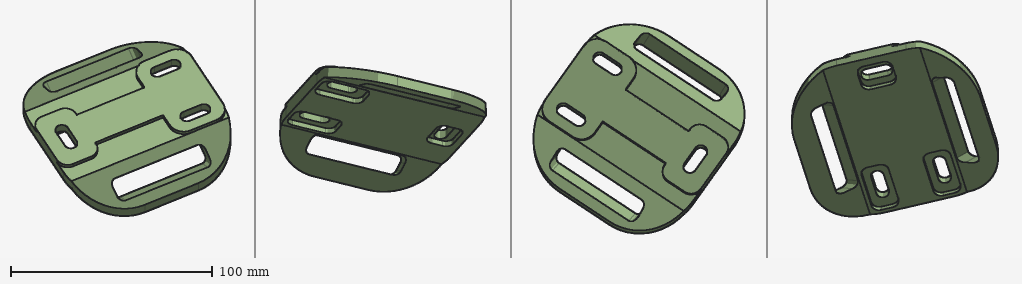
import cadquery as cq
import math

plate_length_x = 96.0
plate_width_y = 90.0
plate_corner_radius = 30.0
plate_thickness = 6.0
bend_x = 25.0
wing_drop = 10.11

raised_height = 2.0
rear_pad_x = 2 * bend_x
rear_pad_y = 30.0
rear_pad_radius = 8.0
front_pad_x = 34.0
front_pad_y = 22.0
front_pad_radius = 6.0
rib_x = 20.0
rib_y = 60.0

slot_length = 16.0
slot_width = 6.5
rear_slot_x = 16.0

recess_depth = 3.0
recess_width = 14.0
recess_corner_radius = 4.0
rear_recess_length = 26.0
front_recess_length = 18.0

window_length_y = 52.0
window_width = 10.0
window_corner_radius = 3.0
window_tilt = 30.0
window_center_x = 37.1

half_x = plate_length_x / 2
half_y = plate_width_y / 2
wing_slope = wing_drop / (half_x - bend_x)
rear_pad_center_y = half_y - rear_pad_y / 2
front_pad_center_y = -half_y + front_pad_y / 2
raised_top_z = plate_thickness + raised_height


def bent_plate():
    """Bent section run along Y, trimmed to a rounded rectangle seen from above."""
    section = (
        cq.Workplane("XZ")
        .moveTo(-half_x, -wing_drop)
        .lineTo(-bend_x, 0)
        .lineTo(bend_x, 0)
        .lineTo(half_x, -wing_drop)
        .lineTo(half_x, plate_thickness - wing_drop)
        .lineTo(bend_x, plate_thickness)
        .lineTo(-bend_x, plate_thickness)
        .lineTo(-half_x, plate_thickness - wing_drop)
        .close()
        .extrude(half_y, both=True)
    )
    outline = (
        cq.Workplane("XY", origin=(0, 0, -wing_drop))
        .rect(plate_length_x, plate_width_y)
        .extrude(wing_drop + plate_thickness)
        .edges("|Z")
        .fillet(plate_corner_radius)
    )
    return section.intersect(outline)


def raised_block(size_x, size_y, center_y):
    """Rectangular block standing on the flat middle of the plate."""
    return (
        cq.Workplane("XY", origin=(0, center_y, plate_thickness))
        .rect(size_x, size_y)
        .extrude(raised_height)
    )


def mounting_slot(center_x, center_y, recess_length, angle):
    """Cutter for a vertical slot with round ends and a wider recess at its bottom."""
    slot = cq.Workplane("XY").slot2D(slot_length, slot_width).extrude(raised_top_z)
    recess = (
        cq.Workplane("XY")
        .rect(recess_length, recess_width)
        .extrude(recess_depth)
        .edges("|Z")
        .fillet(recess_corner_radius)
    )
    cutter = slot.union(recess)
    return cutter.rotate((0, 0, 0), (0, 0, 1), angle).translate((center_x, center_y, 0))


def strap_window(side):
    """Oblique cutter for the window in the wing on the given side (-1 or 1)."""
    tilt = math.radians(window_tilt)
    surface_z = plate_thickness - wing_slope * (window_center_x - bend_x)
    plane = cq.Plane(
        origin=(side * window_center_x, 0, surface_z),
        xDir=(0, 1, 0),
        normal=(side * math.cos(tilt), 0, math.sin(tilt)),
    )
    reach = 2 * window_width
    return (
        cq.Workplane(plane)
        .rect(window_length_y, window_width)
        .extrude(reach, both=True)
        .edges(cq.selectors.ParallelDirSelector(plane.zDir))
        .fillet(window_corner_radius)
    )


rear_pad = raised_block(rear_pad_x, rear_pad_y, rear_pad_center_y).edges("|Z").fillet(rear_pad_radius)
front_pad = raised_block(front_pad_x, front_pad_y, front_pad_center_y).edges("|Z").fillet(front_pad_radius)
rib = raised_block(rib_x, rib_y, 0)

plate = bent_plate()
for side in (-1, 1):
    plate = plate.cut(strap_window(side))

result = plate.union(rear_pad).union(front_pad).union(rib)
for side in (-1, 1):
    result = result.cut(mounting_slot(side * rear_slot_x, rear_pad_center_y, rear_recess_length, 90))
result = result.cut(mounting_slot(0, front_pad_center_y, front_recess_length, 0))